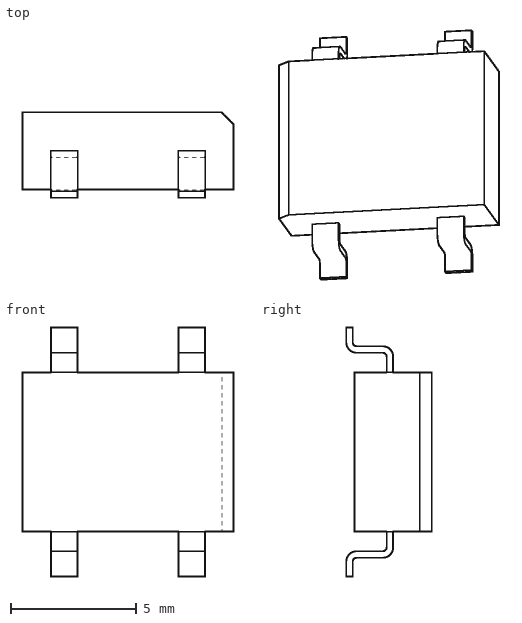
import cadquery as cq

body_width = 8.45
body_depth = 3.09
body_height = 6.37
total_height = 9.95
corner_chamfer = 0.49

lead_width = 1.07
lead_spacing = 5.09
lead_thickness = 0.27
lead_overhang = 0.33
exit_depth = 1.55
foot_length = 0.6
bend_inner_radius = 0.15
bend_outer_radius = bend_inner_radius + lead_thickness

body = (
    cq.Workplane("XY")
    .box(body_width, body_depth, body_height, centered=(True, False, True))
    .edges("|Z and >X and >Y")
    .chamfer(corner_chamfer)
)


def upper_lead(center_x):
    """Gull-wing lead: out of the body top, forward, then up to the foot."""
    root_z = body_height / 2
    tip_z = total_height / 2
    rear_y = exit_depth
    front_y = -lead_overhang
    shelf_bottom_z = tip_z - foot_length - bend_outer_radius
    shelf_top_z = shelf_bottom_z + lead_thickness
    root_bend_y = rear_y - bend_outer_radius
    root_bend_z = shelf_top_z - bend_outer_radius
    foot_bend_y = front_y + bend_outer_radius
    foot_bend_z = tip_z - foot_length

    profile = (
        cq.Workplane("YZ", origin=(center_x - lead_width / 2, 0, 0))
        .moveTo(rear_y, root_z)
        .lineTo(rear_y, root_bend_z)
        .radiusArc((root_bend_y, shelf_top_z), -bend_outer_radius)
        .lineTo(foot_bend_y, shelf_top_z)
        .radiusArc((front_y + lead_thickness, foot_bend_z), bend_inner_radius)
        .lineTo(front_y + lead_thickness, tip_z)
        .lineTo(front_y, tip_z)
        .lineTo(front_y, foot_bend_z)
        .radiusArc((foot_bend_y, shelf_bottom_z), -bend_outer_radius)
        .lineTo(root_bend_y, shelf_bottom_z)
        .radiusArc((rear_y - lead_thickness, root_bend_z), bend_inner_radius)
        .lineTo(rear_y - lead_thickness, root_z)
        .close()
    )
    return profile.extrude(lead_width)


result = body
for side in (-1, 1):
    lead = upper_lead(side * lead_spacing / 2)
    result = result.union(lead).union(lead.mirror("XY"))